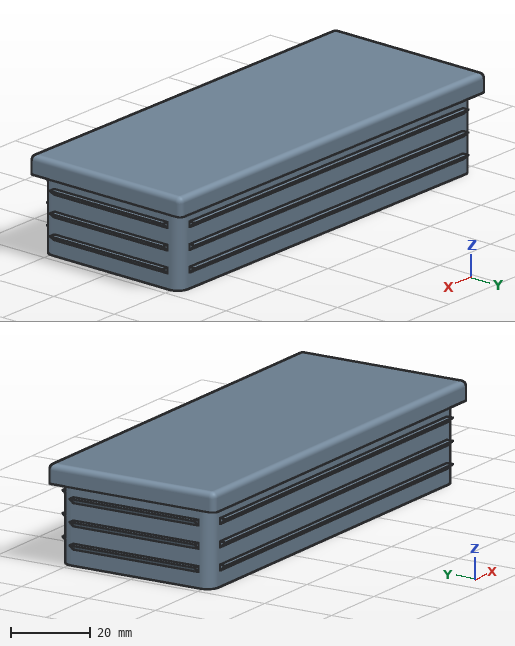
import cadquery as cq

cap_length = 120.0
cap_width = 50.0
cap_height = 5.2
cap_round = 1.5

total_height = 26.5
body_length = 115.2
body_width = 45.2
body_height = total_height - cap_height
body_corner_radius = 3.4

fin_count = 3
fin_pitch = 6.1
fin_reach = 1.8
fin_height = 1.5
fin_end_gap = 0.6
top_fin_z = 18.1
fin_root = 0.2


def make_cap():
    """Rectangular cap with rounded vertical and top edges."""
    return (
        cq.Workplane("XY")
        .workplane(offset=body_height)
        .rect(cap_length, cap_width)
        .extrude(cap_height)
        .edges("|Z or >Z")
        .fillet(cap_round)
    )


def make_body():
    """Plug with rounded vertical corners."""
    return (
        cq.Workplane("XY")
        .rect(body_length, body_width)
        .extrude(body_height)
        .edges("|Z")
        .fillet(body_corner_radius)
    )


def make_fin(wall_distance, wall_length, top_z):
    """Fin on the +X wall, centred on the wall's flat stretch."""
    fin_length = wall_length - 2 * (body_corner_radius + fin_end_gap)
    root_x = wall_distance - fin_root
    return (
        cq.Workplane("XZ")
        .moveTo(root_x, top_z)
        .lineTo(wall_distance + fin_reach, top_z)
        .lineTo(wall_distance, top_z - fin_height)
        .lineTo(root_x, top_z - fin_height)
        .close()
        .extrude(fin_length / 2, both=True)
    )


result = make_body().union(make_cap())

for row in range(fin_count):
    fin_z = top_fin_z - row * fin_pitch
    end_fin = make_fin(body_length / 2, body_width, fin_z)
    side_fin = make_fin(body_width / 2, body_length, fin_z)
    for turn in (0, 180):
        result = result.union(end_fin.rotate((0, 0, 0), (0, 0, 1), turn))
        result = result.union(side_fin.rotate((0, 0, 0), (0, 0, 1), turn + 90))